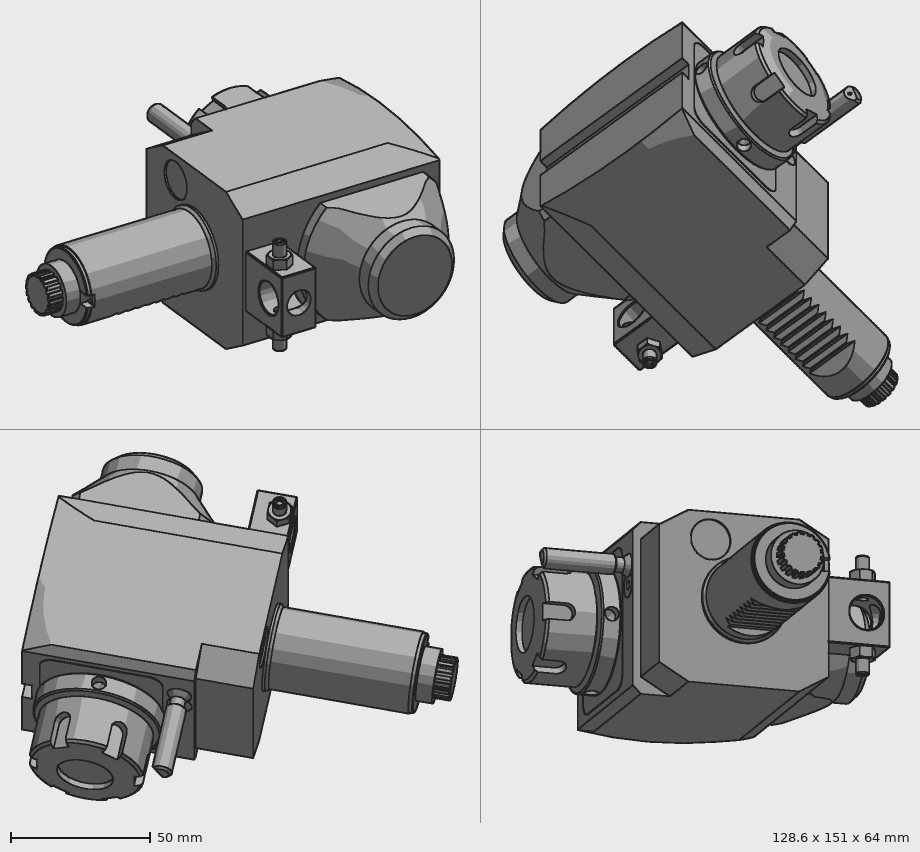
import cadquery as cq
import math


HALF_Z = 32.0
BODY_LENGTH = 84.0
BODY_RIGHT = 32.0
FRONT_LEFT = -32.0
REAR_LEFT = -35.0
STEP_Y = 21.0
BEVEL_X = 11.0
BEVEL_ANGLE = math.radians(30)
BEVEL_Z = BEVEL_X * math.tan(BEVEL_ANGLE)
REAR_CHAMFER = 3.0
BACK_CONE_X = -9.2
BACK_CONE_Z = 130.0
BACK_CONE_R = 161.2
BACK_CONE_SLOPE = 0.238
KEYWAY_WIDTH = 9.7
KEYWAY_DEPTH = 3.6
DISC_X, DISC_Z = -12.5, 21.7
DISC_R = 7.5
DISC_DEPTH = 0.8

SHANK_R = 15.0
SHANK_END = -55.0
COLLAR_R = 16.0
COLLAR_LENGTH = 1.0
COLLAR_TAPER_END = -2.2
END_BAND_R = 14.6
END_BAND_LENGTH = 1.7
END_BAND_CHAMFER = 0.4
JOURNAL_R = 10.0
JOURNAL_END = SHANK_END - 6.0
SPLINE_END = JOURNAL_END - 6.0
SPLINE_R = 7.9
SPLINE_ROOT_R = 7.0
SPLINE_TEETH = 18
SPLINE_GAP_OUTER = 1.7
SPLINE_GAP_ROOT = 1.1
SPLINE_CHAMFER = 0.3
END_SLOT_WIDTH = 5.0
END_SLOT_DEPTH = 3.0
SLOT_POCKET_WIDTH = 4.2
SLOT_POCKET_END = 13.2
SLOT_POCKET_DEPTH = 1.0
RACK_Z = -12.35
RACK_START = -7.2
RACK_PITCH = 4.0
RACK_TEETH = 8
FIRST_VALLEY_Y = -11.75
VALLEY_DEPTH = 1.75

SPINDLE_Y = 55.0
PLATE_HALF_Y, PLATE_HALF_Z = 22.5, 26.4
PLATE_THICKNESS = 0.2
PLATE_CORNER_R = 5.5
RING_R = 23.45
RING_LEFT, RING_RIGHT = -43.1, -35.7
RING_CHAMFER = 0.6
RING_HOLE_R = 2.6
RING_HOLE_DEPTH = 4.0
RING_HOLE_POINT_ANGLE = math.radians(30)
RING_HOLES = 4
NECK_R = 18.0
NUT_R = 21.0
NUT_LEFT, NUT_RIGHT = -64.5, -44.3
NUT_FACE_R = 15.0
NUT_CONE_R = 20.0
NUT_CONE_END = -63.2
NUT_LIP_END = -62.2
NUT_BORE_R = 10.3
NUT_BORE_DEPTH = 2.3
NUT_SLOTS = 6
NUT_SLOT_WIDTH = 6.4
NUT_SLOT_FLOOR_R = 17.8
NUT_SLOT_END = -52.5
UPPER_SLOT_END = -50.8

HOUSING_R = 31.7
HOUSING_CONE_START = 36.2
CAP_R = 18.3
CAP_START = 52.4
CAP_END = 60.83
CAP_CHAMFER = 2.5
HOUSING_TOP_Y = 79.8
HOUSING_FLAT_Z = 22.9
HOUSING_TILT_X = 38.8
HOUSING_TILT = math.radians(15.5)

NOZZLE_Y, NOZZLE_Z = 26.4, 16.9
NOZZLE_TIP = -67.8
NOZZLE_R = 3.7
NOZZLE_TIP_CHAMFER = 0.9
NOZZLE_SHOULDER = -40.9
NOZZLE_NECK_START, NOZZLE_NECK_END = -40.2, -37.2
NOZZLE_NECK_R = 2.7
NOZZLE_BASE_R = 4.4
NOZZLE_BEVEL_OFFSET = 0.9
NOZZLE_BEVEL_DIRECTION = -30.0
NOZZLE_JET_R = 0.5
NOZZLE_JET_OFFSET = 2.2
NOZZLE_JET_LENGTH = 6.0
PLUG_Z = 9.7
PLUG_R = 4.6
PLUG_THICKNESS = 0.1
PLUG_HEX_FLATS = 3.0
PLUG_HEX_DEPTH = 1.5

BLOCK_END = 55.8
BLOCK_HALF_Z = 12.25
BLOCK_Y0, BLOCK_Y1 = 1.4, 16.1
BLOCK_CHAMFER = 0.4
BLOCK_BORE_X = 46.9
BLOCK_BORE_R = 6.3
BLOCK_BORE_CHAMFER = 0.4
SIDE_BORE_R = 5.0
SCREW_Y = 6.2
SCREW_R = 2.5
SCREW_END_Z = 22.0
SCREW_CHAMFER = 0.5
SCREW_SOCKET = 2.5
SCREW_SOCKET_DEPTH = 1.5
SCREW_HOLE_R = 2.0
SCREW_HOLE_DEPTH = 1.0
HEX_NUT_FLATS = 8.2
HEX_NUT_HEIGHT = 4.1
HEX_NUT_CHAMFER_ANGLE = math.radians(30)

OVERLAP = 1.0
CLEAR = 1.0


def box(x0, x1, y0, y1, z0, z1):
    return cq.Workplane("XY").box(x1 - x0, y1 - y0, z1 - z0, centered=False).translate((x0, y0, z0))


def turned_x(points, y, z):
    """Solid turned about an axis parallel to X, from (x, radius) points."""
    profile = cq.Workplane("XY").polyline(points).close()
    return profile.revolve(360, (0, 0, 0), (1, 0, 0)).translate((0, y, z))


def turned_y(points, x, z):
    """Solid turned about an axis parallel to Y, from (radius, y) points."""
    profile = cq.Workplane("XY").polyline(points).close()
    return profile.revolve(360, (0, 0, 0), (0, 1, 0)).translate((x, 0, z))


def prism_y(points, y0, y1):
    """Prism along Y from an (x, z) outline."""
    return cq.Workplane("XZ", origin=(0, y0, 0)).polyline(points).close().extrude(y0 - y1)


def hexagon_z(across_flats, height):
    """Hexagonal prism along Z with two corners on the X axis."""
    return cq.Workplane("XY").polygon(6, across_flats / math.cos(math.pi / 6)).extrude(height)


def back_cone(side):
    """Wide cone that crowns the body toward its back; side is +1 above, -1 below."""
    front_r = BACK_CONE_R + BACK_CONE_SLOPE * BODY_LENGTH
    points = [(0, 0), (front_r, 0), (BACK_CONE_R, BODY_LENGTH), (0, BODY_LENGTH)]
    return turned_y(points, BACK_CONE_X, -side * BACK_CONE_Z)


def make_body():
    bevel_x = BODY_RIGHT - BEVEL_X
    bevel_z = HALF_Z - BEVEL_Z
    right_side = [(bevel_x, -HALF_Z), (BODY_RIGHT, -bevel_z), (BODY_RIGHT, bevel_z), (bevel_x, HALF_Z)]
    front_bevel_x = FRONT_LEFT + BEVEL_X
    front_left = [
        (front_bevel_x, HALF_Z), (FRONT_LEFT, bevel_z),
        (FRONT_LEFT, -bevel_z), (front_bevel_x, -HALF_Z),
    ]
    chamfer_x = REAR_LEFT + REAR_CHAMFER
    chamfer_z = HALF_Z - REAR_CHAMFER
    rear_left = [
        (chamfer_x, HALF_Z), (REAR_LEFT, chamfer_z),
        (REAR_LEFT, -chamfer_z), (chamfer_x, -HALF_Z),
    ]
    front = prism_y(right_side + front_left, 0, STEP_Y)
    body = front.union(prism_y(right_side + rear_left, STEP_Y, BODY_LENGTH))
    for side in (1, -1):
        body = body.intersect(back_cone(side))
    half_key = KEYWAY_WIDTH / 2
    keyway_floor = BODY_LENGTH - KEYWAY_DEPTH
    body = body.cut(box(REAR_LEFT, BODY_RIGHT, keyway_floor, BODY_LENGTH, -half_key, half_key))
    disc = cq.Workplane("XZ").center(DISC_X, DISC_Z).circle(DISC_R).extrude(-DISC_DEPTH)
    return body.cut(disc)


def make_shank():
    band_start = SHANK_END + END_BAND_LENGTH
    shank = turned_y([
        (0, OVERLAP), (COLLAR_R, OVERLAP), (COLLAR_R, -COLLAR_LENGTH), (SHANK_R, COLLAR_TAPER_END),
        (SHANK_R, band_start), (END_BAND_R, band_start), (END_BAND_R, SHANK_END + END_BAND_CHAMFER),
        (END_BAND_R - END_BAND_CHAMFER, SHANK_END), (JOURNAL_R, SHANK_END), (JOURNAL_R, JOURNAL_END),
        (SPLINE_R, JOURNAL_END), (SPLINE_R, SPLINE_END + SPLINE_CHAMFER),
        (SPLINE_R - SPLINE_CHAMFER, SPLINE_END), (0, SPLINE_END),
    ], 0, 0)
    half_slot = END_SLOT_WIDTH / 2
    end_slot = box(JOURNAL_R, COLLAR_R, SHANK_END - CLEAR, SHANK_END + END_SLOT_DEPTH, -half_slot, half_slot)
    half_pocket = SLOT_POCKET_WIDTH / 2
    pocket_floor = SHANK_END + END_SLOT_DEPTH + SLOT_POCKET_DEPTH
    pocket = box(JOURNAL_R, SLOT_POCKET_END, SHANK_END, pocket_floor, -half_pocket, half_pocket)
    return shank.cut(end_slot).cut(pocket).cut(rack()).cut(spline_gaps())


def rack():
    """Clamping teeth cut along the underside of the shank."""
    bottom = -SHANK_R - CLEAR
    valley_z = RACK_Z + VALLEY_DEPTH
    points = [(RACK_START, bottom), (RACK_START, RACK_Z)]
    for i in range(RACK_TEETH):
        y = FIRST_VALLEY_Y - i * RACK_PITCH
        points += [(y + VALLEY_DEPTH, RACK_Z), (y, valley_z)]
        if i < RACK_TEETH - 1:
            points.append((y - VALLEY_DEPTH, RACK_Z))
    last_valley_y = FIRST_VALLEY_Y - (RACK_TEETH - 1) * RACK_PITCH
    points.append((last_valley_y - (valley_z - bottom), bottom))
    profile = cq.Workplane("YZ", origin=(-SHANK_R, 0, 0)).polyline(points).close()
    return profile.extrude(2 * SHANK_R)


def spline_gaps():
    outer = SPLINE_GAP_OUTER / 2
    root = SPLINE_GAP_ROOT / 2
    outer_r = SPLINE_R + CLEAR
    gap = prism_y(
        [(SPLINE_ROOT_R, -root), (outer_r, -outer), (outer_r, outer), (SPLINE_ROOT_R, root)],
        SPLINE_END - CLEAR, JOURNAL_END,
    )
    gaps = cq.Workplane("XY")
    for i in range(SPLINE_TEETH):
        gaps = gaps.add(gap.rotate((0, 0, 0), (0, 1, 0), (i + 0.5) * 360 / SPLINE_TEETH))
    return gaps.combine()


def around_spindle(solid, index, count):
    """Turn a solid about the spindle axis to its place in an even ring."""
    return solid.rotate((0, SPINDLE_Y, 0), (1, SPINDLE_Y, 0), index * 360 / count)


def make_spindle():
    plate = cq.Workplane("YZ", origin=(REAR_LEFT - PLATE_THICKNESS, SPINDLE_Y, 0))
    plate = plate.rect(2 * PLATE_HALF_Y, 2 * PLATE_HALF_Z).extrude(PLATE_THICKNESS + OVERLAP)
    plate = plate.edges("|X").fillet(PLATE_CORNER_R)
    bore_end = NUT_LEFT + NUT_BORE_DEPTH
    ring_chamfer_r = RING_R - RING_CHAMFER
    spindle = turned_x([
        (bore_end, 0), (bore_end, NUT_BORE_R), (NUT_LEFT, NUT_BORE_R), (NUT_LEFT, NUT_FACE_R),
        (NUT_CONE_END, NUT_CONE_R), (NUT_LIP_END, NUT_R), (NUT_RIGHT, NUT_R), (NUT_RIGHT, NECK_R),
        (RING_LEFT, NECK_R), (RING_LEFT, ring_chamfer_r), (RING_LEFT + RING_CHAMFER, RING_R),
        (RING_RIGHT - RING_CHAMFER, RING_R), (RING_RIGHT, ring_chamfer_r), (RING_RIGHT, NUT_R),
        (REAR_LEFT + OVERLAP, NUT_R), (REAR_LEFT + OVERLAP, 0),
    ], SPINDLE_Y, 0)
    for i in range(NUT_SLOTS):
        above_axis = i > NUT_SLOTS / 2
        slot = nut_slot(UPPER_SLOT_END if above_axis else NUT_SLOT_END)
        spindle = spindle.cut(around_spindle(slot, i, NUT_SLOTS))
    for i in range(RING_HOLES):
        spindle = spindle.cut(around_spindle(ring_hole(), i, RING_HOLES))
    return plate.union(spindle)


def nut_slot(end_x):
    """Round-ended wrench slot on the -Y side of the collet nut."""
    half = NUT_SLOT_WIDTH / 2
    start = NUT_LEFT - CLEAR
    outline = cq.Workplane("XZ", origin=(0, SPINDLE_Y - NUT_SLOT_FLOOR_R, 0)).moveTo(start, -half)
    outline = outline.lineTo(end_x - half, -half)
    outline = outline.threePointArc((end_x, 0), (end_x - half, half))
    return outline.lineTo(start, half).close().extrude(NUT_R - NUT_SLOT_FLOOR_R + CLEAR)


def ring_hole():
    """Spanner hole with a conical bottom on the -Y side of the ring."""
    center_x = (RING_LEFT + RING_RIGHT) / 2
    floor_y = SPINDLE_Y - RING_R + RING_HOLE_DEPTH
    top_y = SPINDLE_Y - RING_R - CLEAR
    tip_y = floor_y + RING_HOLE_R * math.tan(RING_HOLE_POINT_ANGLE)
    return turned_y([(0, top_y), (RING_HOLE_R, top_y), (RING_HOLE_R, floor_y), (0, tip_y)], center_x, 0)


def make_housing():
    start = BODY_RIGHT - OVERLAP
    housing = turned_x([
        (start, 0), (start, HOUSING_R), (HOUSING_CONE_START, HOUSING_R), (CAP_START, CAP_R),
        (CAP_END - CAP_CHAMFER, CAP_R), (CAP_END, CAP_R - CAP_CHAMFER), (CAP_END, 0),
    ], SPINDLE_Y, 0)
    cap_z = HOUSING_FLAT_Z - (CAP_START - HOUSING_TILT_X) * math.tan(HOUSING_TILT)
    envelope = prism_y([
        (start, -HOUSING_FLAT_Z), (HOUSING_TILT_X, -HOUSING_FLAT_Z), (CAP_START, -cap_z),
        (CAP_END, -cap_z), (CAP_END, cap_z), (CAP_START, cap_z),
        (HOUSING_TILT_X, HOUSING_FLAT_Z), (start, HOUSING_FLAT_Z),
    ], SPINDLE_Y - HOUSING_R, HOUSING_TOP_Y)
    return housing.intersect(envelope)


def make_nozzle():
    base_x = REAR_LEFT + OVERLAP
    nozzle = turned_x([
        (NOZZLE_TIP, 0), (NOZZLE_TIP, NOZZLE_R - NOZZLE_TIP_CHAMFER),
        (NOZZLE_TIP + NOZZLE_TIP_CHAMFER, NOZZLE_R), (NOZZLE_SHOULDER, NOZZLE_R),
        (NOZZLE_NECK_START, NOZZLE_NECK_R), (NOZZLE_NECK_END, NOZZLE_NECK_R),
        (REAR_LEFT, NOZZLE_BASE_R), (base_x, NOZZLE_BASE_R), (base_x, 0),
    ], NOZZLE_Y, NOZZLE_Z)
    reach = NOZZLE_R - NOZZLE_BEVEL_OFFSET + CLEAR
    bevel = cq.Workplane("XY").polyline([
        (NOZZLE_TIP - CLEAR, NOZZLE_BEVEL_OFFSET - CLEAR),
        (NOZZLE_TIP + reach, NOZZLE_BEVEL_OFFSET + reach),
        (NOZZLE_TIP - CLEAR, NOZZLE_BEVEL_OFFSET + reach),
    ]).close().extrude(NOZZLE_R + CLEAR, both=True)
    jet = cq.Workplane("YZ", origin=(NOZZLE_TIP, NOZZLE_JET_OFFSET, 0))
    bevel = bevel.union(jet.circle(NOZZLE_JET_R).extrude(NOZZLE_JET_LENGTH))
    bevel = bevel.rotate((0, 0, 0), (1, 0, 0), NOZZLE_BEVEL_DIRECTION)
    return nozzle.cut(bevel.translate((0, NOZZLE_Y, NOZZLE_Z)))


def add_plug(solid):
    """Add the screw plug under the nozzle and sink its hexagon socket."""
    plane = cq.Workplane("YZ", origin=(REAR_LEFT - PLUG_THICKNESS, NOZZLE_Y, PLUG_Z))
    plug = plane.circle(PLUG_R).extrude(PLUG_THICKNESS + OVERLAP)
    socket = hexagon_z(PLUG_HEX_FLATS, PLUG_HEX_DEPTH).rotate((0, 0, 0), (0, 1, 0), 90)
    socket = socket.translate((REAR_LEFT - PLUG_THICKNESS, NOZZLE_Y, PLUG_Z))
    return solid.union(plug).cut(socket)


def make_clamp_block():
    block = box(BODY_RIGHT - OVERLAP, BLOCK_END, BLOCK_Y0, BLOCK_Y1, -BLOCK_HALF_Z, BLOCK_HALF_Z)
    block = block.edges("|X or >X").chamfer(BLOCK_CHAMFER)
    mouth_r = BLOCK_BORE_R + BLOCK_BORE_CHAMFER
    bore = turned_y([
        (0, BLOCK_Y0), (mouth_r, BLOCK_Y0), (BLOCK_BORE_R, BLOCK_Y0 + BLOCK_BORE_CHAMFER),
        (BLOCK_BORE_R, BLOCK_Y1 - BLOCK_BORE_CHAMFER), (mouth_r, BLOCK_Y1), (0, BLOCK_Y1),
    ], BLOCK_BORE_X, 0)
    side_bore = cq.Workplane("YZ", origin=(BLOCK_BORE_X, (BLOCK_Y0 + BLOCK_Y1) / 2, 0))
    side_bore = side_bore.circle(SIDE_BORE_R).extrude(BLOCK_END - BLOCK_BORE_X)
    upper_screw = set_screw()
    lower_screw = upper_screw.mirror("XY")
    hole_reach = BLOCK_BORE_R + SCREW_HOLE_DEPTH
    screw_hole = cq.Workplane("XY").circle(SCREW_HOLE_R).extrude(hole_reach, both=True)
    screw_hole = screw_hole.translate((BLOCK_BORE_X, SCREW_Y, 0))
    return block.union(upper_screw).union(lower_screw).cut(bore).cut(side_bore).cut(screw_hole)


def set_screw():
    """Socket set screw with its lock nut on top of the clamp block."""
    start_z = BLOCK_HALF_Z - OVERLAP
    screw = cq.Workplane("XY").circle(SCREW_R).extrude(SCREW_END_Z - start_z)
    screw = screw.faces(">Z").edges().chamfer(SCREW_CHAMFER)
    socket = hexagon_z(SCREW_SOCKET, SCREW_SOCKET_DEPTH + CLEAR)
    socket = socket.translate((0, 0, SCREW_END_Z - start_z - SCREW_SOCKET_DEPTH))
    nut_top = HEX_NUT_HEIGHT + OVERLAP
    flat_r = HEX_NUT_FLATS / 2
    trim_z = nut_top - flat_r * math.tan(HEX_NUT_CHAMFER_ANGLE)
    corner_trim = cq.Workplane("XZ").polyline([
        (0, 0), (HEX_NUT_FLATS, 0), (HEX_NUT_FLATS, trim_z), (flat_r, nut_top), (0, nut_top),
    ]).close().revolve(360, (0, 0, 0), (0, 1, 0))
    nut = hexagon_z(HEX_NUT_FLATS, nut_top).intersect(corner_trim)
    return screw.union(nut).cut(socket).translate((BLOCK_BORE_X, SCREW_Y, start_z))


holder = make_body().union(make_shank()).union(make_spindle()).union(make_housing())
holder = holder.union(make_nozzle()).union(make_clamp_block())
result = add_plug(holder)